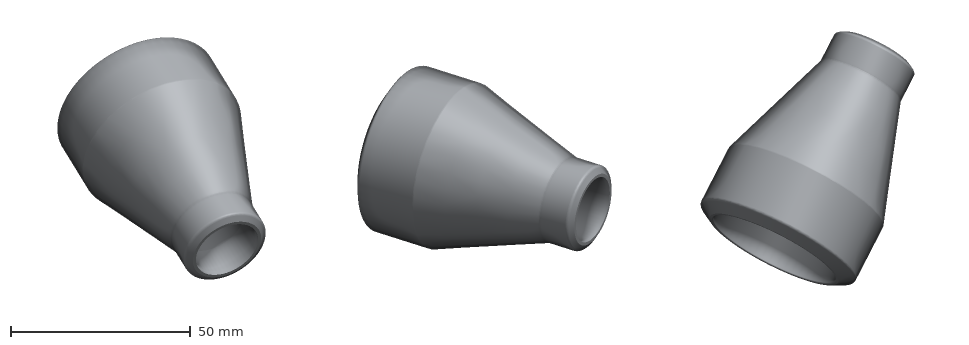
import cadquery as cq
import math

length = 64.0
large_radius = 48.3 / 2
small_radius = 25.0 / 2
large_bore_radius = 38.3 / 2
small_bore_radius = 19.0 / 2

large_collar_length = 20.0
small_collar_length = 10.0
large_bore_depth = 12.0

bevel_angle = 30.0
large_land_radius = 20.1
small_land_radius = 10.4
blend_radius = 1.0
bore_edge_round = 0.3

bevel_slope = math.tan(math.radians(bevel_angle))
large_bevel_length = (large_radius - large_land_radius) * bevel_slope
small_bevel_length = (small_radius - small_land_radius) * bevel_slope
taper_end = length - small_collar_length


def revolve_about_x(points):
    """Revolve a closed outline of (X, radius) points about the X axis."""
    return cq.Workplane("XY").polyline(points).close().revolve(360, (0, 0, 0), (1, 0, 0))


outer_corners = [
    (large_bevel_length, large_radius),
    (large_collar_length, large_radius),
    (taper_end, small_radius),
    (length - small_bevel_length, small_radius),
]
body = revolve_about_x(
    [(0, 0), (0, large_land_radius)] + outer_corners + [(length, small_land_radius), (length, 0)]
)

body = body.faces("not(<X or >X)").edges("not(<X or >X)").edges("%CIRCLE").fillet(blend_radius)

bore = revolve_about_x([
    (0, 0),
    (0, large_bore_radius),
    (large_bore_depth, large_bore_radius),
    (taper_end, small_bore_radius),
    (length, small_bore_radius),
    (length, 0),
])
body = body.cut(bore)

result = body.faces("<X").edges(cq.selectors.RadiusNthSelector(0)).fillet(bore_edge_round)